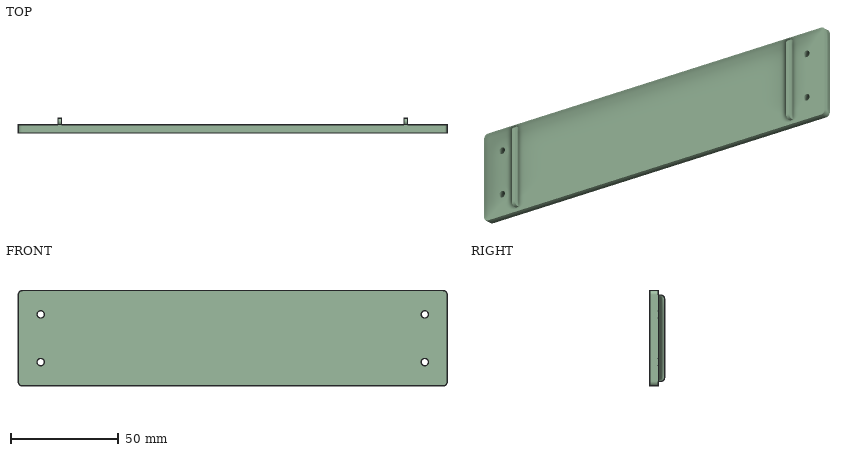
import cadquery as cq

PLATE_LENGTH = 199.8
PLATE_HEIGHT = 44.45
PLATE_THICKNESS = 4.0
PLATE_CORNER_RADIUS = 2.0

HOLE_DIAMETER = 3.3
HOLE_SPACING_X = 178.8
HOLE_SPACING_Z = PLATE_HEIGHT / 2

OVERALL_DEPTH = 7.0
RIB_DEPTH = OVERALL_DEPTH - PLATE_THICKNESS
RIB_WIDTH = 1.8
RIB_LENGTH = PLATE_HEIGHT - 2 * PLATE_CORNER_RADIUS
RIB_SPACING = 161.0
RIB_CORNER_RADIUS = 2.0


def make_plate():
    """Flat plate with four rounded corners."""
    plate = cq.Workplane("XY").box(
        PLATE_LENGTH, PLATE_THICKNESS, PLATE_HEIGHT, centered=(True, False, True)
    )
    return plate.edges("|Y").fillet(PLATE_CORNER_RADIUS)


def make_holes():
    """Four cylinders that pass through the plate."""
    return (
        cq.Workplane("XZ")
        .rarray(HOLE_SPACING_X, HOLE_SPACING_Z, 2, 2)
        .circle(HOLE_DIAMETER / 2)
        .extrude(-PLATE_THICKNESS)
    )


def make_rib(center_x):
    """Upright rib on the back face, with its two outer end corners rounded."""
    rib = cq.Workplane("XY").box(
        RIB_WIDTH, RIB_DEPTH, RIB_LENGTH, centered=(True, False, True)
    )
    rib = rib.faces(">Y").edges("|X").fillet(RIB_CORNER_RADIUS)
    return rib.translate((center_x, PLATE_THICKNESS, 0))


result = make_plate().cut(make_holes())
for side in (-1, 1):
    result = result.union(make_rib(side * RIB_SPACING / 2))